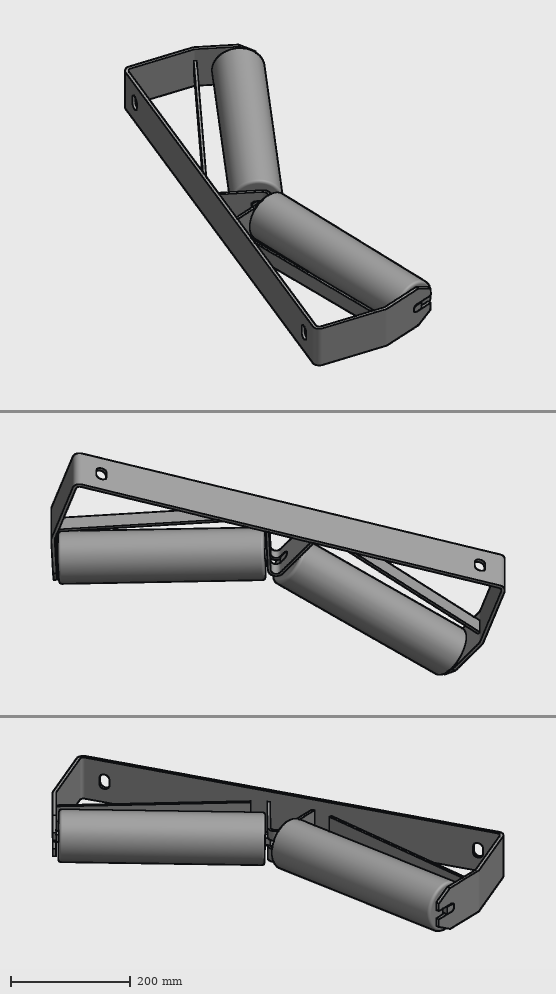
import cadquery as cq
import math

THICKNESS = 6.0
BEND_OUTER_RADIUS = 12.0

FRAME_WIDTH = 760.0
FRAME_HEIGHT = 80.0
TROUGH_ANGLE = 20.0
FOLD_Y = 131.5
ARM_LENGTH = 104.5
ARM_CHAMFER_ALONG = 29.0
ARM_CHAMFER_ACROSS = 17.0

MOUNT_SLOT_X = 333.0
MOUNT_SLOT_WIDTH = 18.0
MOUNT_SLOT_HEIGHT = 28.0

ROLLER_DIAMETER = 89.0
ROLLER_LENGTH = 346.0
ROLLER_FILLET = 5.0
ROLLER_TILT = 1.1
ROLLER_GAP = 4.0
AXLE_ALONG_ARM = 74.03
AXLE_WIDTH = 14.0
AXLE_DEPTH = 18.0
AXLE_SLOT_WIDTH = 16.0
AXLE_DROP = 0.85

CROWN_Y = 95.0
CROWN_RADIUS = 14.0
BRACKET_THICKNESS = 5.0
BRACKET_HEIGHT = 60.0

BRACE_THICKNESS = 5.0
BRACE_HEIGHT = 30.0
BRACE_ANGLE = 22.2
BRACE_FOOT_X = 72.0

HALF_WIDTH = FRAME_WIDTH / 2
SIN = math.sin(math.radians(TROUGH_ANGLE))
COS = math.cos(math.radians(TROUGH_ANGLE))
BOTTOM_Z = -FRAME_HEIGHT / 2

ARM_DIR = cq.Vector(SIN, COS, 0)
AXIS_DIR = cq.Vector(COS, -SIN, 0)
FOLD = cq.Vector(-HALF_WIDTH, FOLD_Y, 0)
CROWN_CENTRE = cq.Vector(0, CROWN_Y - CROWN_RADIUS, 0)
ARM_AXLE = FOLD + ARM_DIR * AXLE_ALONG_ARM
SLOT_ROUND_CENTRE = AXLE_WIDTH / 2 - AXLE_DEPTH / 2

ROLLER_START = THICKNESS + ROLLER_GAP
BRACKET_FACE = (CROWN_CENTRE - ARM_AXLE).dot(AXIS_DIR) - CROWN_RADIUS
AXLE_END = BRACKET_FACE + BRACKET_THICKNESS


def mirrored(body):
    """Copy of a left-hand body on the right-hand side."""
    return body.mirror("YZ")


def axis_plane(distance, z):
    """Plane square to the left roller's path: local X runs along the arm, local Y along +Z."""
    origin = ARM_AXLE + AXIS_DIR * distance + cq.Vector(0, 0, z)
    return cq.Plane(origin=origin, xDir=ARM_DIR, normal=AXIS_DIR)


def axle_z(distance):
    """Height of the tilted axle at a distance from the outer face of the arm."""
    run = distance - THICKNESS / 2
    return -AXLE_DROP - run * math.tan(math.radians(ROLLER_TILT))


def axle_slot(distance, length, z):
    """Cutter for a left-hand axle slot: round at the bottom, open at the top of the strip."""
    half = AXLE_SLOT_WIDTH / 2
    return (
        cq.Workplane(axis_plane(distance, z))
        .moveTo(ARM_LENGTH, -half)
        .lineTo(SLOT_ROUND_CENTRE, -half)
        .threePointArc((SLOT_ROUND_CENTRE - half, 0), (SLOT_ROUND_CENTRE, half))
        .lineTo(ARM_LENGTH, half)
        .close()
        .extrude(length)
    )


def arm_corner_cutter(side):
    """Wedge that bevels one corner at the end of the left arm (side is +1 or -1)."""
    end = ARM_LENGTH - AXLE_ALONG_ARM
    edge = side * FRAME_HEIGHT / 2
    return (
        cq.Workplane(axis_plane(0, 0))
        .polyline([
            (end - ARM_CHAMFER_ALONG, edge),
            (end, edge),
            (end, edge - side * ARM_CHAMFER_ACROSS),
        ])
        .close()
        .extrude(2 * THICKNESS, both=True)
    )


def at_points(points):
    """Selector for the upright edges that stand on the given XY points."""
    reach = THICKNESS / 4
    selector = None
    for x, y in points:
        box = cq.selectors.BoxSelector(
            (x - reach, y - reach, -FRAME_HEIGHT), (x + reach, y + reach, FRAME_HEIGHT)
        )
        selector = box if selector is None else selector + box
    return selector


def make_frame():
    """Bent strip frame: the left half is shaped and then mirrored."""
    tip = FOLD + ARM_DIR * ARM_LENGTH
    inner_tip = tip + AXIS_DIR * THICKNESS
    inner_x = -HALF_WIDTH + THICKNESS
    inner_fold_y = FOLD_Y - THICKNESS * math.tan(math.radians(TROUGH_ANGLE / 2))
    half = (
        cq.Workplane("XY", origin=(0, 0, BOTTOM_Z))
        .polyline([
            (0, 0),
            (-HALF_WIDTH, 0),
            (-HALF_WIDTH, FOLD_Y),
            (tip.x, tip.y),
            (inner_tip.x, inner_tip.y),
            (inner_x, inner_fold_y),
            (inner_x, THICKNESS),
            (0, THICKNESS),
        ])
        .close()
        .extrude(FRAME_HEIGHT)
    )
    outer_bends = [(-HALF_WIDTH, 0), (-HALF_WIDTH, FOLD_Y)]
    inner_bends = [(inner_x, THICKNESS), (inner_x, inner_fold_y)]
    half = half.edges(at_points(outer_bends)).fillet(BEND_OUTER_RADIUS)
    half = half.edges(at_points(inner_bends)).fillet(BEND_OUTER_RADIUS - THICKNESS)

    half = half.cut(axle_slot(-THICKNESS, 3 * THICKNESS, 0))
    for side in (1, -1):
        half = half.cut(arm_corner_cutter(side))

    mount_slot = (
        cq.Workplane("XZ")
        .center(-MOUNT_SLOT_X, 0)
        .slot2D(MOUNT_SLOT_HEIGHT, MOUNT_SLOT_WIDTH, 90)
        .extrude(-THICKNESS)
    )
    half = half.cut(mount_slot)
    return half.union(mirrored(half))


def make_bracket():
    """Inverted V on the base; its slots sit lower than the arm slots to suit the roller tilt."""
    def v_outline(radius):
        tangent_x = radius * COS
        tangent_y = CROWN_CENTRE.y + radius * SIN
        foot_x = tangent_x + (tangent_y - THICKNESS) * SIN / COS
        return (
            cq.Workplane("XY", origin=(0, 0, BOTTOM_Z))
            .moveTo(-foot_x, THICKNESS)
            .lineTo(-tangent_x, tangent_y)
            .threePointArc((0, CROWN_CENTRE.y + radius), (tangent_x, tangent_y))
            .lineTo(foot_x, THICKNESS)
            .close()
            .extrude(BRACKET_HEIGHT)
        )

    bracket = v_outline(CROWN_RADIUS).cut(v_outline(CROWN_RADIUS - BRACKET_THICKNESS))
    slot = axle_slot(BRACKET_FACE - BRACKET_THICKNESS, 2 * CROWN_RADIUS, axle_z(AXLE_END) + AXLE_DROP)
    return bracket.cut(slot).cut(mirrored(slot))


def make_roller():
    """Left roller, built along its own axis and then tilted into place."""
    drum = (
        cq.Workplane("XY", origin=(0, 0, ROLLER_START))
        .circle(ROLLER_DIAMETER / 2)
        .extrude(ROLLER_LENGTH)
        .edges()
        .fillet(ROLLER_FILLET)
    )
    half = AXLE_WIDTH / 2
    axle = (
        cq.Workplane("XY")
        .moveTo(AXLE_DEPTH / 2, -half)
        .lineTo(SLOT_ROUND_CENTRE, -half)
        .threePointArc((SLOT_ROUND_CENTRE - half, 0), (SLOT_ROUND_CENTRE, half))
        .lineTo(AXLE_DEPTH / 2, half)
        .close()
        .extrude(AXLE_END)
    )
    slope = math.radians(ROLLER_TILT)
    axis = AXIS_DIR * math.cos(slope) - cq.Vector(0, 0, math.sin(slope))
    origin = ARM_AXLE + cq.Vector(0, 0, axle_z(0))
    place = cq.Plane(origin=origin, xDir=ARM_DIR, normal=axis)
    return cq.Workplane(drum.union(axle).val().moved(cq.Location(place)))


def make_brace():
    """Left brace: its lower edges rest on the base and against the leg."""
    slope = math.radians(BRACE_ANGLE)
    length = (HALF_WIDTH - THICKNESS - BRACE_FOOT_X) / math.cos(slope)
    return (
        cq.Workplane("XY")
        .box(length, BRACE_THICKNESS, BRACE_HEIGHT, centered=(False, False, True))
        .translate((-length, 0, 0))
        .rotate((0, 0, 0), (0, 0, 1), -BRACE_ANGLE)
        .translate((-BRACE_FOOT_X, THICKNESS, 0))
    )


frame = make_frame().solids()
bracket = make_bracket().solids()
left_roller = make_roller().solids()
left_brace = make_brace().solids()
rollers = [left_roller, mirrored(left_roller).solids()]
braces = [left_brace, mirrored(left_brace).solids()]

result = cq.Compound.makeCompound([
    frame.val(),
    bracket.val(),
    *[roller.val() for roller in rollers],
    *[brace.val() for brace in braces],
])